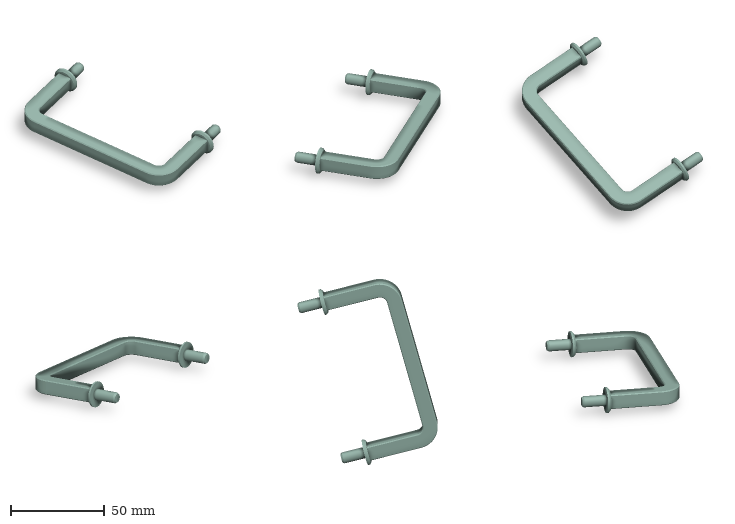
import cadquery as cq

post_spacing = 89.0
overall_depth = 55.0

bar_size = 8.0
outer_bend_radius = 12.0
edge_chamfer = 0.5

collar_diameter = 14.0
collar_thickness = 2.0
collar_chamfer = 1.0

stud_diameter = 6.0
stud_length = 13.0
stud_chamfer_length = 1.0
stud_chamfer_depth = 0.6

stud_start = overall_depth - stud_length
leg_end = stud_start - collar_thickness

leg_positions = [-post_spacing / 2, post_spacing / 2]


def make_handle():
    """U-shaped square bar with chamfered edges above and below, square at the leg ends."""
    outer_width = post_spacing + bar_size
    inner_width = post_spacing - bar_size
    inner_bend_radius = outer_bend_radius - bar_size
    outer_block = (
        cq.Workplane("XY")
        .box(outer_width, leg_end, bar_size, centered=(True, False, True))
        .edges("|Z and <Y")
        .fillet(outer_bend_radius)
    )
    opening = (
        cq.Workplane("XY")
        .box(inner_width, leg_end - bar_size, bar_size, centered=(True, False, True))
        .translate((0, bar_size, 0))
        .edges("|Z and <Y")
        .fillet(inner_bend_radius)
    )
    bar = outer_block.cut(opening)
    long_edges = bar.faces("|Z").edges().filter(lambda edge: edge.Center().y < leg_end - edge_chamfer)
    return long_edges.chamfer(edge_chamfer)


def make_collar(x):
    """Round flange disc against a leg end, chamfered on the side facing the handle."""
    return (
        cq.Workplane("XZ", origin=(x, stud_start, 0))
        .circle(collar_diameter / 2)
        .extrude(collar_thickness)
        .faces("<Y")
        .edges()
        .chamfer(collar_chamfer)
    )


def make_stud(x):
    """Round stud standing on the collar, with a tapered tip."""
    radius = stud_diameter / 2
    profile = (
        cq.Workplane("XY", origin=(x, 0, 0))
        .moveTo(0, stud_start)
        .lineTo(radius, stud_start)
        .lineTo(radius, overall_depth - stud_chamfer_length)
        .lineTo(radius - stud_chamfer_depth, overall_depth)
        .lineTo(0, overall_depth)
        .close()
    )
    return profile.revolve(360, (0, 0, 0), (0, 1, 0))


handle = make_handle()
collars = [make_collar(x) for x in leg_positions]
studs = [make_stud(x) for x in leg_positions]

bodies = [handle, *collars, *studs]
result = cq.Compound.makeCompound([body.val() for body in bodies])